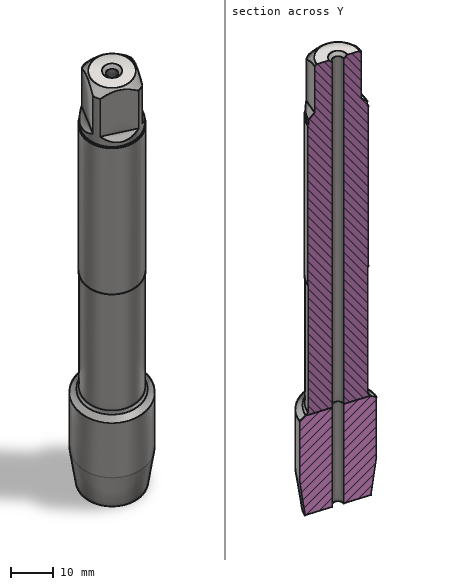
import cadquery as cq

LENGTH = 140.0

HEAD_DIAMETER = 20.2
TIP_DIAMETER = 17.2
LEAD_LENGTH = 11.5
SHOULDER_Z = 30.1
SHOULDER_DIAMETER = 16.8
HEAD_TOP_Z = 31.2

NECK_DIAMETER = 15.7
NECK_FOOT_Z = 32.0
SHANK_DIAMETER = 16.0
SHANK_START_Z = 71.7
SHANK_CHAMFER = 0.3

SQUARE_WIDTH = 12.2
SQUARE_END_DIAMETER = 15.4
SQUARE_START_Z = 122.1
FLAT_START_Z = 125.0
END_FACE_DIAMETER = 11.2
END_CHAMFER_HEIGHT = 2.1

HOLE_DIAMETER = 3.0
COUNTERSINK_DIAMETER = 4.8
COUNTERSINK_DEPTH = (COUNTERSINK_DIAMETER - HOLE_DIAMETER) / 2


def revolve_profile(points):
    """Revolve a closed (diameter, z) profile around the Z axis."""
    radial_points = [(diameter / 2, z) for diameter, z in points]
    return cq.Workplane("XZ").polyline(radial_points).close().revolve(360, (0, 0), (0, 1))


def make_cutting_head():
    """Tapered lead, cylindrical thread envelope and chamfered shoulder."""
    return revolve_profile([
        (HOLE_DIAMETER, 0),
        (TIP_DIAMETER, 0),
        (HEAD_DIAMETER, LEAD_LENGTH),
        (HEAD_DIAMETER, SHOULDER_Z),
        (SHOULDER_DIAMETER, HEAD_TOP_Z),
        (HOLE_DIAMETER, HEAD_TOP_Z),
    ])


def make_flat_cutter():
    """Material beside one flat, with a 45 degree run-out at its lower end."""
    flat = SQUARE_WIDTH / 2
    outside = HEAD_DIAMETER / 2
    runout_z = FLAT_START_Z - (outside - flat)
    return (
        cq.Workplane("XZ")
        .polyline([(flat, FLAT_START_Z), (outside, runout_z), (outside, LENGTH), (flat, LENGTH)])
        .close()
        .extrude(outside, both=True)
    )


def make_shank():
    """Neck, shank and square drive, bored through and countersunk."""
    shank = revolve_profile([
        (HOLE_DIAMETER, HEAD_TOP_Z),
        (SHOULDER_DIAMETER, HEAD_TOP_Z),
        (NECK_DIAMETER, NECK_FOOT_Z),
        (NECK_DIAMETER, SHANK_START_Z),
        (SHANK_DIAMETER, SHANK_START_Z + SHANK_CHAMFER),
        (SHANK_DIAMETER, SQUARE_START_Z - SHANK_CHAMFER),
        (SQUARE_END_DIAMETER, SQUARE_START_Z),
        (SQUARE_END_DIAMETER, LENGTH - END_CHAMFER_HEIGHT),
        (END_FACE_DIAMETER, LENGTH),
        (COUNTERSINK_DIAMETER, LENGTH),
        (HOLE_DIAMETER, LENGTH - COUNTERSINK_DEPTH),
    ])
    cutter = make_flat_cutter()
    for angle in (0, 90, 180, 270):
        shank = shank.cut(cutter.rotate((0, 0, 0), (0, 0, 1), angle))
    return shank


cutting_head = make_cutting_head()
shank = make_shank()
result = cq.Compound.makeCompound([cutting_head.val(), shank.val()])